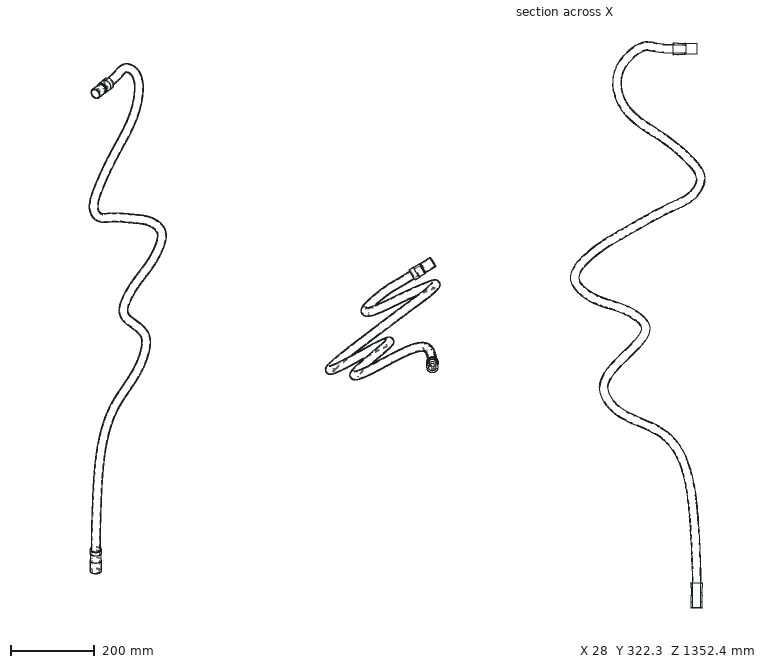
import cadquery as cq

hose_diameter = 22.0
bore_diameter = 18.0

lower_steps = [
    (28.0, 10.0),
    (26.0, 20.0),
    (27.0, 30.0),
]
upper_steps = [
    (28.0, 12.0),
    (27.0, 16.0),
    (25.0, 3.0),
    (26.0, 27.0),
]
upper_tip_bore_diameter = 22.0


def total_length(steps):
    return sum(length for _, length in steps)


lower_end = cq.Vector(0, 0, 0)
upper_end = cq.Vector(0, -1.0, 1335.0)
up = cq.Vector(0, 0, 1)
forward = cq.Vector(0, -1, 0)
hose_start = lower_end + up * total_length(lower_steps)
hose_finish = upper_end - forward * total_length(upper_steps)

hose_bends = [
    (4.0, 176.0), (15.0, 285.0), (37.0, 360.0), (72.0, 408.0), (139.0, 445.0),
    (200.0, 481.0), (222.0, 526.0), (193.0, 579.0), (145.0, 627.0), (122.0, 669.0),
    (151.0, 702.0), (212.0, 726.0), (265.0, 750.0), (290.0, 784.0), (261.0, 835.0),
    (172.0, 896.0), (60.0, 957.0), (3.0, 994.0), (-10.0, 1023.0), (16.0, 1068.0),
    (90.0, 1129.0), (168.0, 1190.0), (189.0, 1242.0), (176.0, 1299.0), (127.0, 1340.0),
]


def hose_centreline():
    """Smooth curve that leaves both fittings along their axes."""
    bends = [cq.Vector(0, y, z) for y, z in hose_bends]
    points = [hose_start] + bends + [hose_finish]
    curve = cq.Edge.makeSpline(points, tangents=[up, forward])
    return cq.Workplane(obj=cq.Wire.assembleEdges([curve]))


def hollow_hose():
    """Tube of constant wall swept along the centreline."""
    section = cq.Workplane("XY", origin=hose_start.toTuple())
    section = section.circle(hose_diameter / 2).circle(bore_diameter / 2)
    return section.sweep(hose_centreline())


def end_fitting(base, direction, steps):
    """Stepped round sleeve with a through bore."""
    plane = cq.Plane(origin=base.toTuple(), xDir=(1, 0, 0), normal=direction.toTuple())
    fitting = cq.Workplane(plane)
    start = 0
    for diameter, length in steps:
        step = cq.Workplane(plane).workplane(offset=start)
        fitting = fitting.union(step.circle(diameter / 2).extrude(length))
        start += length
    bore = cq.Workplane(plane).circle(bore_diameter / 2).extrude(start)
    return fitting.cut(bore)


lower_fitting = end_fitting(hose_start, up * -1, lower_steps)
upper_fitting = end_fitting(hose_finish, forward, upper_steps)

_, upper_tip_length = upper_steps[-1]
upper_fitting = (
    upper_fitting.faces("<Y").workplane(origin=upper_end.toTuple())
    .circle(upper_tip_bore_diameter / 2)
    .cutBlind(-upper_tip_length)
)

result = hollow_hose().union(lower_fitting).union(upper_fitting)